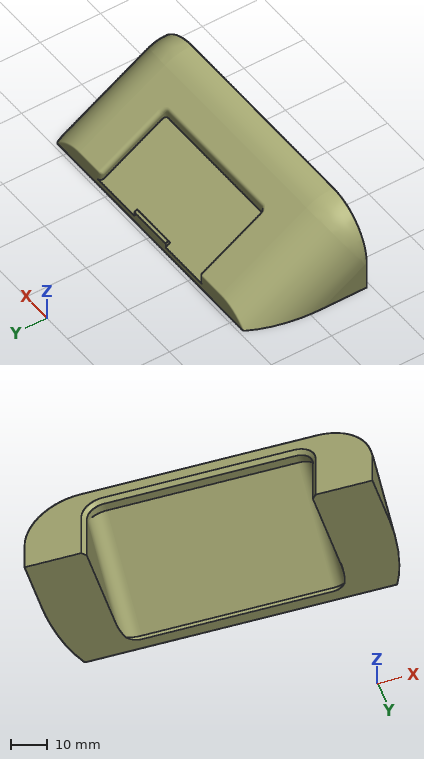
import cadquery as cq
import math

WIDTH = 100.0
DEPTH = 37.5
HEIGHT = 25.0

CROWN_RADIUS = 16.0
FRONT_LAND = 0.6
BACK_HEIGHT = 5.0
BACK_EDGE_ROUND = 0.6

CAVITY_WIDTH = 65.0
CAVITY_ROOF = 20.0
CAVITY_ROUND = 5.0
ROOF_THICKNESS = 5.0
CAVITY_END_HEIGHT = 1.2
END_WALL_LEAN = 12.0
MOUTH_CHAMFER = 1.2

RECESS_WIDTH = 47.4
RECESS_START_Y = 15.9
RECESS_DEPTH = 2.5
RECESS_CORNER = 1.2
RIM_ROUND = 1.3

TAB_WIDTH = 15.0
TAB_HEIGHT = 1.2
TAB_TOP_LENGTH = 0.9

AXIS_Y = FRONT_LAND
AXIS_Z = HEIGHT - CROWN_RADIUS

back_run = DEPTH - AXIS_Y
back_drop = AXIS_Z - BACK_HEIGHT
SLOPE = math.atan2(back_drop, back_run) + math.asin(CROWN_RADIUS / math.hypot(back_run, back_drop))
SLOPE_SIN = math.sin(SLOPE)
SLOPE_COS = math.cos(SLOPE)

OVERSIZE = 2 * DEPTH

MARGIN = 0.1


def envelope():
    """Block that bounds the whole part."""
    return cq.Workplane("XY").box(WIDTH, DEPTH, HEIGHT, centered=(True, False, False))


def slope_plane(distance, offset):
    """Plane parallel to the sloped top, with local Y running down the slope and the normal out.

    It starts the given distance down from the crown, raised by offset from the sloped top.
    """
    radius = CROWN_RADIUS + offset
    origin = (
        0,
        AXIS_Y + radius * SLOPE_SIN + distance * SLOPE_COS,
        AXIS_Z + radius * SLOPE_COS - distance * SLOPE_SIN,
    )
    return cq.Plane(origin=origin, xDir=(1, 0, 0), normal=(0, SLOPE_SIN, SLOPE_COS))


def crown_outline(plane):
    """Open outline of the rounded top, drawn on a plane through the crown axis."""
    half = WIDTH / 2
    shoulder = half - CROWN_RADIUS
    diagonal = CROWN_RADIUS * math.sqrt(0.5)
    return (
        cq.Workplane(plane)
        .moveTo(-half, 0)
        .threePointArc((-shoulder - diagonal, diagonal), (-shoulder, CROWN_RADIUS))
        .lineTo(shoulder, CROWN_RADIUS)
        .threePointArc((shoulder + diagonal, diagonal), (half, 0))
    )


def arch_outline(plane, leg_length):
    """Crown outline with straight legs reaching down by leg_length."""
    return crown_outline(plane).line(0, -leg_length).line(-WIDTH, 0).close()


def make_hull():
    """Arch carried straight back, turned about the crown axis, then carried down the slope."""
    axis_point = (0, AXIS_Y, AXIS_Z)
    upright = cq.Plane(origin=axis_point, xDir=(1, 0, 0), normal=(0, -1, 0))
    tilted = cq.Plane(origin=axis_point, xDir=(1, 0, 0), normal=(0, -SLOPE_COS, SLOPE_SIN))
    front = arch_outline(upright, AXIS_Z).extrude(FRONT_LAND)
    crown = crown_outline(upright).close().revolve(math.degrees(SLOPE), (0, 0), (-1, 0))
    tail = arch_outline(tilted, OVERSIZE).extrude(-OVERSIZE)
    hull = tail.union(crown).intersect(envelope()).union(front)
    return hull.faces(">Y").edges("not <Z").fillet(BACK_EDGE_ROUND)


def cut_cavity(body):
    """Cut the finger cavity: level roof, roof parallel to the sloped top, leaning end wall."""
    roof_above_axis = (CROWN_RADIUS - ROOF_THICKNESS) / SLOPE_COS
    fold_y = AXIS_Y + (AXIS_Z + roof_above_axis - CAVITY_ROOF) / math.tan(SLOPE)
    end_y = fold_y + (CAVITY_ROOF - CAVITY_END_HEIGHT) / math.tan(SLOPE)
    overrun = CAVITY_ROUND
    end_lean = (CAVITY_END_HEIGHT + overrun) * math.tan(math.radians(END_WALL_LEAN))
    profile = [
        (-overrun, -overrun),
        (-overrun, CAVITY_ROOF),
        (fold_y, CAVITY_ROOF),
        (end_y, CAVITY_END_HEIGHT),
        (end_y + end_lean, -overrun),
    ]
    cavity = cq.Workplane("YZ").polyline(profile).close().extrude(CAVITY_WIDTH / 2, both=True)
    cavity = cavity.faces("<X or >X").edges("not (<Z or <Y)").fillet(CAVITY_ROUND)
    body = body.cut(cavity)
    mouth = cq.selectors.BoxSelector(
        (-CAVITY_WIDTH / 2 - MARGIN, -MARGIN, MARGIN),
        (CAVITY_WIDTH / 2 + MARGIN, MARGIN, CAVITY_ROOF + MARGIN),
    )
    return body.faces("<Y").edges(mouth).chamfer(MOUTH_CHAMFER)


def cut_recess(body):
    """Cut the upright-walled recess, open at the top and the back, then round its rim."""
    top = slope_plane(0, 0)
    floor = slope_plane(0, -RECESS_DEPTH)
    start_z = floor.origin.z - (RECESS_START_Y - floor.origin.y) * math.tan(SLOPE)
    end_y = DEPTH + OVERSIZE
    profile = [
        (RECESS_START_Y, HEIGHT),
        (RECESS_START_Y, start_z),
        (end_y, start_z - (end_y - RECESS_START_Y) * math.tan(SLOPE)),
        (end_y, HEIGHT),
    ]
    recess = cq.Workplane("YZ").polyline(profile).close().extrude(RECESS_WIDTH / 2, both=True)
    body = body.cut(recess.edges("|Z and <Y").fillet(RECESS_CORNER))

    def is_rim(edge):
        place = top.toLocalCoords(edge.Center())
        inside = abs(place.x) < RECESS_WIDTH / 2 + MARGIN and place.y > MARGIN
        return inside and abs(place.z) < MARGIN

    return body.edges().filter(is_rim).fillet(RIM_ROUND)


def add_tab(body):
    """Add a tab with its top parallel to the sloped top and its upper side square to it."""
    top_offset = TAB_HEIGHT - RECESS_DEPTH
    back_distance = (back_run - (CROWN_RADIUS + top_offset) * SLOPE_SIN) / SLOPE_COS
    top_length = TAB_TOP_LENGTH / SLOPE_COS
    tab = (
        cq.Workplane(slope_plane(back_distance - top_length, top_offset))
        .center(0, top_length)
        .rect(TAB_WIDTH, 2 * top_length)
        .extrude(-TAB_HEIGHT - MARGIN)
    )
    return body.union(tab.intersect(envelope()))


result = make_hull()
result = cut_cavity(result)
result = cut_recess(result)
result = add_tab(result)